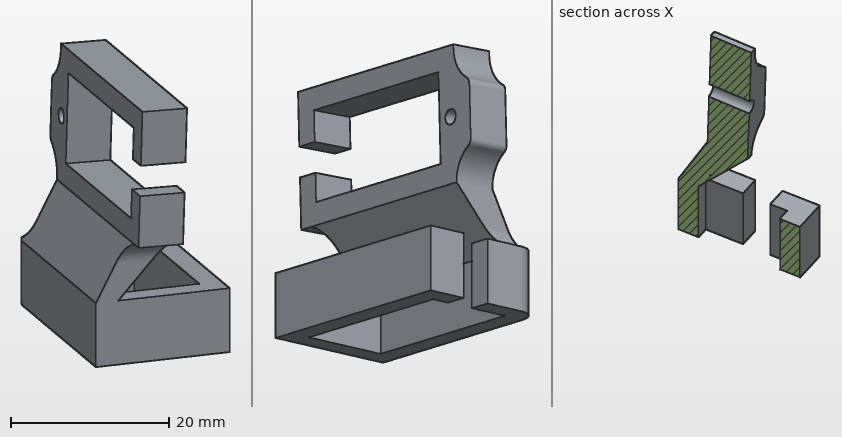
import cadquery as cq
import math

wall = 3.0
gap = 4.0
corner_radius = 3.0

clip_length = 29.98
clip_depth = 18.0
clip_height = 8.5
clip_gap_start = 8.5

total_height = 34.58
frame_right = 33.92
frame_left = 3.9
frame_height = 18.0
frame_thickness = 6.0
frame_front = 4.3
lean = 1.7
window_left = 6.9
frame_gap_start = 6.85

tab_left = 1.0
scoop_radius = 5.0
upper_scoop_drop = 0.6
upper_scoop_z = frame_height - upper_scoop_drop
tab_corner_radius = 1.0
hole_diameter = 2.0
hole_x = 4.77
hole_height = upper_scoop_z / 2

lean_angle = math.radians(lean)
frame_bottom = total_height - frame_height * math.cos(lean_angle)


def block(x_range, y_range, z_range):
    """Axis-aligned box spanning the given (low, high) ranges."""
    spans = (x_range, y_range, z_range)
    size = [high - low for low, high in spans]
    corner = tuple(low for low, high in spans)
    return cq.Workplane("XY").box(*size, centered=False).translate(corner)


def rounded_block(height, length):
    """Prism as deep as the clip, its front left corner rounded."""
    body = block((0, length), (0, clip_depth), (0, height))
    return body.edges("|Z and <X and <Y").fillet(corner_radius)


def make_clip():
    z_range = (0, clip_height)
    window = block((wall, clip_length - wall), (wall, clip_depth - wall), z_range)
    opening = block((0, wall), (clip_gap_start, clip_gap_start + gap), z_range)
    return rounded_block(clip_height, clip_length).cut(window).cut(opening)


def frame_outline():
    """Upright frame outline in the XZ plane, lower edge on Z = 0."""
    scoop_x = frame_left - scoop_radius
    corner_x = tab_left + tab_corner_radius

    reach = scoop_radius + tab_corner_radius
    angle = math.acos((corner_x - scoop_x) / reach)
    tab_bottom = reach * math.sin(angle)
    tab_top = upper_scoop_z - tab_bottom

    def on_scoop(center_z, turn):
        return (scoop_x + scoop_radius * math.cos(turn), center_z + scoop_radius * math.sin(turn))

    def on_corner(center_z, turn):
        return (corner_x - tab_corner_radius * math.cos(turn), center_z + tab_corner_radius * math.sin(turn))

    return (
        cq.Workplane("XZ")
        .moveTo(frame_left, 0)
        .lineTo(frame_right, 0)
        .lineTo(frame_right, frame_height)
        .lineTo(frame_left, frame_height)
        .lineTo(frame_left, upper_scoop_z)
        .threePointArc(on_scoop(upper_scoop_z, -angle / 2), on_scoop(upper_scoop_z, -angle))
        .threePointArc(on_corner(tab_top, angle / 2), (tab_left, tab_top))
        .lineTo(tab_left, tab_bottom)
        .threePointArc(on_corner(tab_bottom, -angle / 2), on_scoop(0, angle))
        .threePointArc(on_scoop(0, angle / 2), (frame_left, 0))
        .close()
    )


def make_frame():
    y_range = (0, frame_thickness)
    window = block((window_left, frame_right - wall), y_range, (wall, frame_height - wall))
    opening = block((frame_right - wall, frame_right), y_range, (frame_gap_start, frame_gap_start + gap))
    hole = (
        cq.Workplane("XZ")
        .center(hole_x, hole_height)
        .circle(hole_diameter / 2)
        .extrude(-frame_thickness)
    )
    frame = frame_outline().extrude(-frame_thickness).cut(window).cut(opening).cut(hole)
    leaned = frame.rotate((0, 0, 0), (1, 0, 0), -lean)
    return leaned.translate((0, frame_front, frame_bottom))


def make_neck():
    """Sloping web from the clip's front bar to the frame, flared at two corners."""
    back_y = frame_front + frame_thickness * math.cos(lean_angle)
    back_z = frame_bottom - frame_thickness * math.sin(lean_angle)
    web = (
        cq.Workplane("YZ")
        .polyline([(0, clip_height), (wall, clip_height), (back_y, back_z), (frame_front, frame_bottom)])
        .close()
        .extrude(frame_right)
    )
    foot_x = frame_left - corner_radius
    shoulder_x = clip_length + corner_radius
    mid_arc = corner_radius * math.sqrt(0.5)
    foot_z = clip_height + corner_radius
    shoulder_z = frame_bottom - corner_radius
    silhouette = (
        cq.Workplane("XZ")
        .moveTo(foot_x, clip_height)
        .lineTo(clip_length, clip_height)
        .lineTo(clip_length, shoulder_z)
        .threePointArc((shoulder_x - mid_arc, shoulder_z + mid_arc), (shoulder_x, frame_bottom))
        .lineTo(frame_left, frame_bottom)
        .lineTo(frame_left, foot_z)
        .threePointArc((foot_x + mid_arc, foot_z - mid_arc), (foot_x, clip_height))
        .close()
        .extrude(-clip_depth)
    )
    corner_limit = rounded_block(total_height, frame_right)
    return web.intersect(silhouette).intersect(corner_limit)


result = make_clip().union(make_neck()).union(make_frame())